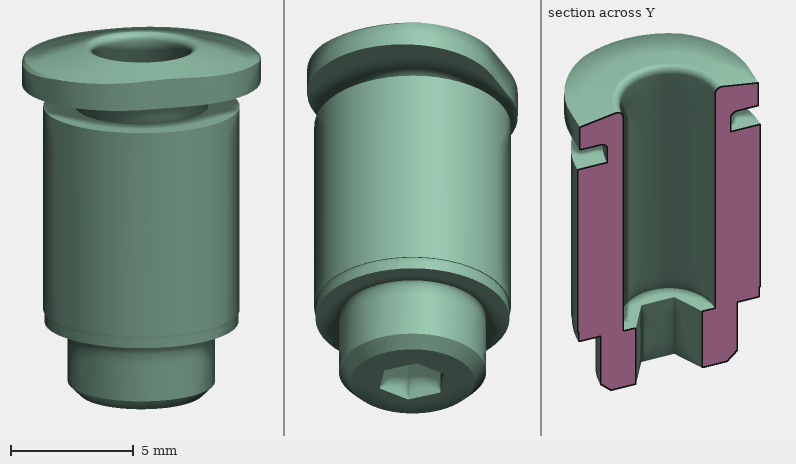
import cadquery as cq
import math

total_height = 14.6
shoulder_level = 3.0
sleeve_level = 3.5
sleeve_top = 12.1
head_underside = 13.1

spigot_diameter = 6.0
spigot_chamfer = 0.47
shoulder_diameter = 7.9
sleeve_diameter = 8.0
neck_diameter = 5.4
neck_fillet = 0.29

head_width = 7.8
head_length = 9.8
cone_angle = 10.0
bevel_start_radius = 4.76

bore_diameter = 4.0
bore_rounding = 0.3
hex_across_flats = 2.5
bore_floor = shoulder_level


def cylinder(diameter, bottom, top):
    return cq.Workplane("XY").workplane(offset=bottom).circle(diameter / 2).extrude(top - bottom)


def make_body():
    spigot = cylinder(spigot_diameter, 0, shoulder_level).faces("<Z").chamfer(spigot_chamfer)
    shoulder = cylinder(shoulder_diameter, shoulder_level, sleeve_level)
    sleeve = cylinder(sleeve_diameter, sleeve_level, sleeve_top)
    return spigot.union(shoulder).union(sleeve)


def make_neck():
    """Neck with a concave flare where it meets the underside of the head."""
    radius = neck_diameter / 2
    flare_start = head_underside - neck_fillet
    arc_offset = neck_fillet * (1 - math.sqrt(0.5))
    profile = (
        cq.Workplane("XZ")
        .moveTo(0, sleeve_top)
        .lineTo(radius, sleeve_top)
        .lineTo(radius, flare_start)
        .threePointArc(
            (radius + arc_offset, head_underside - arc_offset),
            (radius + neck_fillet, head_underside),
        )
        .lineTo(0, head_underside)
        .close()
    )
    return profile.revolve(360, (0, 0, 0), (0, 1, 0))


def make_head():
    """Oblong plate trimmed by a revolved envelope: flat, shallow cone, 45 degree bevel."""
    thickness = total_height - head_underside
    plate = (
        cq.Workplane("XY")
        .workplane(offset=head_underside)
        .slot2D(head_length, head_width, 90)
        .extrude(thickness)
    )
    flat_radius = bore_diameter / 2 + bore_rounding
    cone_drop = (bevel_start_radius - flat_radius) * math.tan(math.radians(cone_angle))
    bevel_level = total_height - cone_drop
    rim_radius = head_length / 2
    bevel = rim_radius - bevel_start_radius
    envelope = (
        cq.Workplane("XZ")
        .moveTo(0, head_underside)
        .lineTo(rim_radius, head_underside)
        .lineTo(rim_radius, bevel_level - bevel)
        .lineTo(bevel_start_radius, bevel_level)
        .lineTo(flat_radius, total_height)
        .lineTo(0, total_height)
        .close()
        .revolve(360, (0, 0, 0), (0, 1, 0))
    )
    return plate.intersect(envelope)


def make_bore():
    """Bore cutter whose mouth flares out as a convex rounding of the top edge."""
    radius = bore_diameter / 2
    arc_offset = bore_rounding * (1 - math.sqrt(0.5))
    profile = (
        cq.Workplane("XZ")
        .moveTo(0, bore_floor)
        .lineTo(radius, bore_floor)
        .lineTo(radius, total_height - bore_rounding)
        .threePointArc(
            (radius + arc_offset, total_height - arc_offset),
            (radius + bore_rounding, total_height),
        )
        .lineTo(0, total_height)
        .close()
    )
    return profile.revolve(360, (0, 0, 0), (0, 1, 0))


def make_hex_drive():
    corner_diameter = hex_across_flats / math.cos(math.radians(30))
    return cq.Workplane("XY").polygon(6, corner_diameter).extrude(bore_floor)


solid = make_body().union(make_neck()).union(make_head())
result = solid.cut(make_bore()).cut(make_hex_drive())